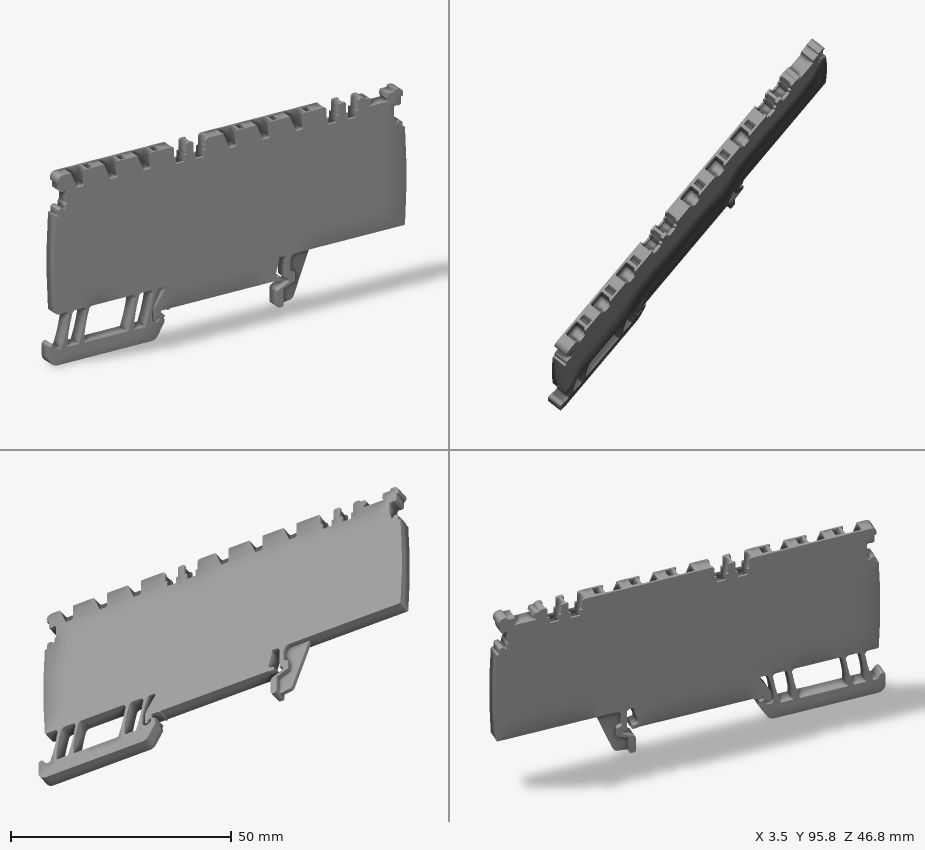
import cadquery as cq

thickness = 3.5
length = 95.8
height = 46.8
half_thickness = thickness / 2

plate_half_length = 47.25
plate_mid = length / 2 - plate_half_length
plate_bottom = 12.6
plate_corner = 46.85
shoulder_top = 36.95
plate_end_mid = (plate_bottom + shoulder_top) / 2
corner_radius = 0.35

group_count = 2
group_pitch = 40.97

slot_pitch = 5.18
first_slot_mid = 32.68
slot_width = 3.46
slot_floor_width = 2.3
slot_step = 43.95
slot_floor = 42.35
slot_edge_radius = 0.65
post_edge_radius = 0.3
channel_back = -1.3
channel_front = 1.05
channel_mouth = 4.5
channel_step = 3.3
channel_floor_width = 2.1
channel_floor = 41.2

station_pitch = 8.95
stations_per_group = 3
first_button_end = 22.87
opening_width = 2.6
button_length = 2.4
button_depth = 8.0
button_wall = 0.3
button_pit_length = 1.7
button_pit_floor = 0.4
button_pit_end = 0.55
button_pit_depth = 1.5
pocket_gap = 0.5
pocket_length = 4.0
pocket_depth = 4.0
pocket_radius = 0.4
scoop_floor_length = 1.3
scoop_steep_run = 0.6

foot_floor = 6.95
base_top = 3.95
window_left_edge = -21.14
window_right_edge = -25.9
strut_spacing = 4.7
wide_window_end_shift = 13.42
window_pitch = 17.9
gusset_thickness = 1.0

profile_plane = cq.Workplane("YZ", origin=(-half_thickness, plate_mid, 0))


def extrude_profile(wire, depth=thickness):
    """Close an outline and extrude it towards +X."""
    return wire.close().extrude(depth)


def plate_blank():
    """Plate with slightly bowed ends."""
    wire = (
        profile_plane.moveTo(-plate_corner, plate_bottom)
        .lineTo(plate_corner, plate_bottom)
        .threePointArc((plate_half_length, plate_end_mid), (plate_corner, shoulder_top))
        .lineTo(plate_corner, height)
        .lineTo(-plate_corner, height)
        .lineTo(-plate_corner, shoulder_top)
        .threePointArc((-plate_half_length, plate_end_mid), (-plate_corner, plate_bottom))
    )
    return extrude_profile(wire).edges("|X and <Z").fillet(corner_radius)


def end_notch(side):
    """Space outside the rounded head and latch groove at one end of the plate."""

    def at(y, z):
        return (side * y, z)

    wire = (
        profile_plane.moveTo(*at(plate_half_length, height))
        .lineTo(*at(45.0, height))
        .threePointArc(at(46.0, 46.35), at(46.35, 45.3))
        .lineTo(*at(46.3, 44.8))
        .lineTo(*at(45.8, 44.7))
        .lineTo(*at(45.75, 42.9))
        .lineTo(*at(45.1, 42.65))
        .lineTo(*at(44.5, 42.85))
        .lineTo(*at(43.95, 42.6))
        .lineTo(*at(43.95, 39.6))
        .lineTo(*at(44.25, 39.1))
        .lineTo(*at(44.35, 38.2))
        .threePointArc(at(44.65, 38.05), at(44.9, 38.4))
        .threePointArc(at(45.55, 38.65), at(46.2, 38.3))
        .lineTo(*at(46.25, shoulder_top))
        .lineTo(*at(plate_half_length, shoulder_top))
    )
    return extrude_profile(wire)


def label_recess():
    """Dovetailed seat for a label, with lowered lips beside it."""
    wire = (
        profile_plane.moveTo(44.3, height)
        .lineTo(44.1, 46.2)
        .lineTo(42.3, 46.2)
        .lineTo(42.05, 45.0)
        .lineTo(42.4, 44.6)
        .lineTo(42.4, 44.25)
        .lineTo(37.2, 44.25)
        .lineTo(37.2, 44.65)
        .lineTo(37.85, 45.2)
        .lineTo(37.5, 46.2)
        .lineTo(36.4, 46.2)
        .threePointArc((36.1, 46.6), (35.6, height))
    )
    return extrude_profile(wire)


def jumper_slot(slot_mid, post_side):
    """Slot through the thickness, stepped to a narrower floor, with rounded top edges.

    The edge on the post side (1 for +Y, -1 for -Y) has the smaller radius.
    """
    half_mouth = slot_width / 2
    half_floor = slot_floor_width / 2

    def at(y, z):
        return (slot_mid + post_side * y, z)

    def arc_drop(radius):
        return radius * (1 - 0.5**0.5)

    post_drop = arc_drop(post_edge_radius)
    edge_drop = arc_drop(slot_edge_radius)
    wire = (
        profile_plane.moveTo(*at(-half_floor, slot_floor))
        .lineTo(*at(half_floor, slot_floor))
        .lineTo(*at(half_floor, slot_step))
        .lineTo(*at(half_mouth, slot_step))
        .lineTo(*at(half_mouth, height - post_edge_radius))
        .threePointArc(
            at(half_mouth + post_drop, height - post_drop),
            at(half_mouth + post_edge_radius, height),
        )
        .lineTo(*at(-half_mouth - slot_edge_radius, height))
        .threePointArc(
            at(-half_mouth - edge_drop, height - edge_drop),
            at(-half_mouth, height - slot_edge_radius),
        )
        .lineTo(*at(-half_mouth, slot_step))
        .lineTo(*at(-half_floor, slot_step))
    )
    return extrude_profile(wire)


def slot_channel(slot_mid):
    """Flared channel inside a slot, leaving a thin rim on both faces of the plate."""
    half_mouth = channel_mouth / 2
    half_step = channel_step / 2
    half_floor = channel_floor_width / 2
    wire = (
        profile_plane.workplane(offset=half_thickness + channel_back)
        .moveTo(slot_mid - half_floor, channel_floor)
        .lineTo(slot_mid + half_floor, channel_floor)
        .lineTo(slot_mid + half_step, slot_step)
        .lineTo(slot_mid + half_mouth, height)
        .lineTo(slot_mid - half_mouth, height)
        .lineTo(slot_mid - half_step, slot_step)
    )
    return extrude_profile(wire, channel_front - channel_back)


def strut_left_edge(wire, y):
    """Upward edge of a slanted strut, from the foot base to the plate."""
    return (
        wire.lineTo(y - 1.73, base_top)
        .threePointArc((y - 0.6, 7.6), (y + 0.12, 11.3))
        .threePointArc((y + 0.05, 12.3), (y - 0.45, plate_bottom))
    )


def strut_right_edge(wire, y):
    """Downward edge of a slanted strut, from the plate to the foot base."""
    return (
        wire.lineTo(y + 2.1, plate_bottom)
        .threePointArc((y + 1.5, 12.3), (y + 1.2, 11.6))
        .threePointArc((y + 0.55, 9.0), (y, 5.6))
        .lineTo(y, base_top)
    )


def foot_window(left_edge, right_edge):
    """Opening between two neighbouring struts of the foot."""
    wire = profile_plane.moveTo(right_edge, base_top)
    wire = strut_left_edge(wire, left_edge)
    wire = strut_right_edge(wire, right_edge)
    return extrude_profile(wire)


def foot_base():
    """Slanted foot block with the end hook, before its windows are cut."""
    wire = (
        profile_plane.moveTo(-17.7, plate_bottom)
        .lineTo(-17.7, 5.4)
        .lineTo(-17.9, 5.0)
        .lineTo(-17.7, 4.0)
        .lineTo(-19.6, 0.9)
        .threePointArc((-20.2, 0.3), (-21.3, 0))
        .lineTo(-46.5, 0)
        .threePointArc((-48.0, 0.6), (-48.55, 2.0))
        .lineTo(-48.55, 4.6)
        .threePointArc((-48.0, 5.3), (-47.3, 5.0))
        .lineTo(-46.5, base_top)
    )
    wire = strut_left_edge(wire, window_left_edge - window_pitch - strut_spacing)
    return extrude_profile(wire)


def foot_groove():
    """J-shaped gap between the centre claw and the first strut."""
    wire = (
        profile_plane.moveTo(-18.7, foot_floor)
        .lineTo(-17.0, foot_floor)
        .lineTo(-17.0, 5.7)
        .lineTo(-18.0, 5.6)
        .lineTo(-18.75, 5.9)
        .lineTo(-18.9, 5.2)
        .threePointArc((-20.1, 4.35), (-21.2, 5.4))
        .threePointArc((-20.85, 8.8), (-19.8, 12.0))
        .threePointArc((-19.5, 12.45), (-19.0, plate_bottom))
        .lineTo(-18.0, plate_bottom)
        .threePointArc((-17.75, 12.3), (-17.8, 11.9))
        .lineTo(-19.9, 8.7)
        .threePointArc((-20.4, 7.6), (-20.5, 6.3))
        .lineTo(-20.45, 4.95)
        .lineTo(-19.9, 4.95)
        .threePointArc((-19.5, 5.7), (-18.75, 5.9))
    )
    return extrude_profile(wire)


def centre_foot():
    """Raised seat between the latch and the claw."""
    wire = (
        profile_plane.moveTo(13.06, plate_bottom)
        .lineTo(12.85, 11.0)
        .lineTo(12.05, 8.3)
        .lineTo(12.3, 7.9)
        .lineTo(13.4, 7.75)
        .lineTo(13.65, 6.8)
        .lineTo(12.3, 6.75)
        .lineTo(12.1, foot_floor)
        .lineTo(-16.4, foot_floor)
        .lineTo(-16.5, 6.7)
        .lineTo(-17.6, 6.7)
        .lineTo(-17.7, foot_floor)
        .lineTo(-17.8, plate_bottom)
    )
    return extrude_profile(wire)


def latch_arm():
    """Spring arm with the rail hook."""
    wire = (
        profile_plane.moveTo(17.6, plate_bottom)
        .threePointArc((16.5, 12.1), (16.1, 11.0))
        .lineTo(16.1, 8.6)
        .lineTo(17.25, 7.9)
        .lineTo(17.25, 5.7)
        .lineTo(14.25, 4.5)
        .lineTo(14.25, 0.4)
        .lineTo(13.9, 0.1)
        .lineTo(13.0, 0.1)
        .lineTo(12.65, 0.5)
        .lineTo(12.65, 3.6)
        .threePointArc((12.85, 4.4), (13.5, 4.85))
        .lineTo(15.85, 5.95)
        .lineTo(15.8, 6.95)
        .lineTo(14.95, 6.95)
        .lineTo(14.95, 11.8)
        .threePointArc((14.75, 12.35), (14.2, plate_bottom))
    )
    return extrude_profile(wire)


def latch_gusset():
    """Thin web behind the spring arm, in the middle of the thickness."""
    wire = (
        profile_plane.workplane(offset=half_thickness - gusset_thickness / 2)
        .moveTo(22.1, plate_bottom)
        .lineTo(17.8, 1.7)
        .threePointArc((17.4, 1.0), (16.8, 0.7))
        .lineTo(14.25, 0.4)
        .lineTo(13.8, 4.3)
        .lineTo(16.5, 5.7)
        .lineTo(15.6, 8.6)
        .lineTo(15.6, plate_bottom)
    )
    return extrude_profile(wire, gusset_thickness)


def button_block(end):
    """Plain block the size of a button, also used to cut its hole."""
    mid = plate_mid + end - button_length / 2
    top = cq.Workplane("XY", origin=(0, mid, height))
    return top.rect(opening_width, button_length).extrude(-button_depth)


def wire_pocket(end):
    """Blind wire entry."""
    return (
        cq.Workplane("XY", origin=(0, plate_mid + end - pocket_length / 2, height))
        .rect(opening_width, pocket_length)
        .extrude(-pocket_depth)
        .edges("|Z")
        .fillet(pocket_radius)
    )


def pocket_scoop(end):
    """Cut that opens the wire pocket through the +X wall."""
    steep_end = end - pocket_gap
    far_end = end - pocket_length
    floor = height - pocket_depth
    floor_start = steep_end - scoop_steep_run
    wall = half_thickness - opening_width / 2
    wire = (
        profile_plane.workplane(offset=thickness - wall - pocket_radius)
        .moveTo(steep_end, height)
        .lineTo(steep_end, floor + scoop_steep_run)
        .radiusArc((floor_start, floor), scoop_steep_run)
        .lineTo(floor_start - scoop_floor_length, floor)
        .lineTo(far_end, height)
    )
    return extrude_profile(wire, wall + pocket_radius)


def push_button(end):
    """Button filling its hole, with a tapered driver pit in the top."""
    pit_end = end - button_pit_end
    taper = (button_pit_length - button_pit_floor) / 2
    pit = (
        profile_plane.workplane(offset=half_thickness - opening_width / 2 + button_wall)
        .moveTo(pit_end, height)
        .lineTo(pit_end - taper, height - button_pit_depth)
        .lineTo(pit_end - taper - button_pit_floor, height - button_pit_depth)
        .lineTo(pit_end - button_pit_length, height)
    )
    return button_block(end).cut(extrude_profile(pit, opening_width - button_wall))


button_ends = [
    first_button_end - group * group_pitch - station * station_pitch
    for group in range(group_count)
    for station in range(stations_per_group)
]

housing = plate_blank().cut(end_notch(1)).cut(end_notch(-1)).cut(label_recess())
housing = housing.union(foot_base()).union(centre_foot()).union(latch_arm()).union(latch_gusset())
housing = housing.cut(foot_groove())
for left_edge, right_edge in [
    (window_left_edge, window_right_edge),
    (window_left_edge - strut_spacing, window_right_edge - wide_window_end_shift),
    (window_left_edge - window_pitch, window_right_edge - window_pitch),
]:
    housing = housing.cut(foot_window(left_edge, right_edge))

for group in range(group_count):
    outer_slot = first_slot_mid - group * group_pitch
    for slot_mid, post_side in [(outer_slot, -1), (outer_slot - slot_pitch, 1)]:
        housing = housing.cut(jumper_slot(slot_mid, post_side)).cut(slot_channel(slot_mid))

for button_end in button_ends:
    pocket_end = button_end - button_length - pocket_gap
    housing = housing.cut(button_block(button_end)).cut(wire_pocket(pocket_end)).cut(pocket_scoop(pocket_end))

buttons = [push_button(button_end) for button_end in button_ends]

result = cq.Compound.makeCompound([housing.val(), *[button.val() for button in buttons]])